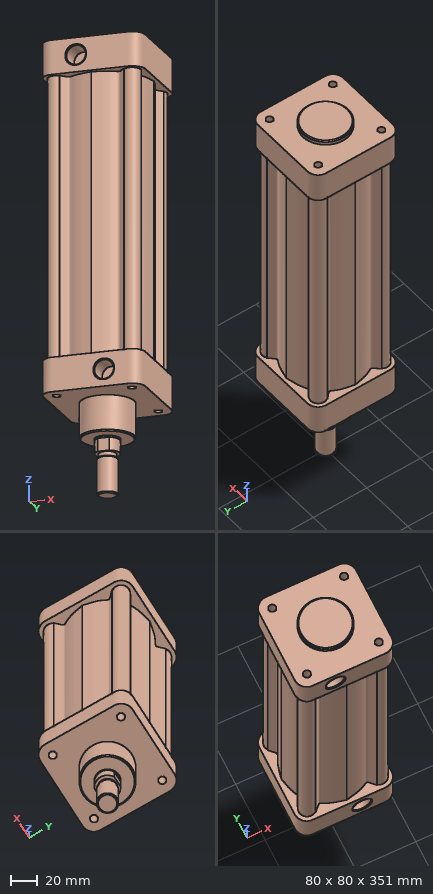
import cadquery as cq
import math

cap_height = 27.0
tube_length = 221.0
rear_boss_height = 4.0
front_boss_height = 28.0
rod_length = 44.0

cap_width = 80.0
cap_corner_radius = 10.0
boss_diameter = 42.0
boss_chamfer = 1.0
screw_spacing = 59.2
screw_hole_diameter = 6.0
screw_hole_depth = 15.0
port_diameter = 15.0
port_chamfer = 0.8
port_depth = 18.0
port_offset = 11.0

barrel_radius = 35.6
tube_width = 73.0
lobe_radius = (tube_width - screw_spacing) / 2
lobe_wall_half_width = 7.2
lobe_shoulder_offset = 1.0
lobe_fillet = 2.0

rod_diameter = 20.0
exposed_rod_length = 1.3
shank_diameter = 19.5
shank_length = 10.2
flat_width = 17.3
neck_diameter = 14.0
neck_length = 3.2
thread_diameter = 16.0
thread_chamfer = 1.0

tube_base = cap_height
rear_cap_base = tube_base + tube_length
rear_cap_top = rear_cap_base + cap_height


def make_cap(base, boss_base, boss_height, outer_face, port_x):
    """Rounded square cap with a boss, four screw holes and one port in its -Y side.

    outer_face is "<Z" or ">Z", the end of the cap that carries the boss.
    """
    cap = (
        cq.Workplane("XY", origin=(0, 0, base))
        .rect(cap_width, cap_width)
        .extrude(cap_height)
        .edges("|Z")
        .fillet(cap_corner_radius)
    )
    boss = (
        cq.Workplane("XY", origin=(0, 0, boss_base))
        .circle(boss_diameter / 2)
        .extrude(boss_height)
        .faces(outer_face)
        .chamfer(boss_chamfer)
    )
    inward = 1 if outer_face == "<Z" else -1
    outer_z = base if outer_face == "<Z" else base + cap_height
    screw_holes = (
        cq.Workplane("XY", origin=(0, 0, outer_z))
        .rect(screw_spacing, screw_spacing, forConstruction=True)
        .vertices()
        .circle(screw_hole_diameter / 2)
        .extrude(inward * screw_hole_depth)
    )
    return cap.union(boss).cut(screw_holes).cut(make_port(port_x, base + cap_height / 2))


def make_port(x, z):
    """Cutter for a blind round port with a chamfered mouth, entering from the -Y side."""
    mouth_radius = port_diameter / 2 + port_chamfer
    profile = [
        (0, 0),
        (mouth_radius, 0),
        (port_diameter / 2, port_chamfer),
        (port_diameter / 2, port_depth),
        (0, port_depth),
    ]
    port = cq.Workplane("XY").polyline(profile).close().revolve(360, (0, 0), (0, 1))
    return port.translate((x, -cap_width / 2, z))


def make_tube():
    """Round barrel with a shallow ridge on each side and a round-ended lobe at each corner."""
    ridge_apex = tube_width / 2
    tangent_angle = math.acos(barrel_radius / ridge_apex)
    ridge_half_width = barrel_radius * math.sin(tangent_angle)
    ridge_foot = barrel_radius * math.cos(tangent_angle)
    screw_radius = screw_spacing / math.sqrt(2)
    shoulder = screw_radius + lobe_shoulder_offset
    lobe_neck = math.sqrt(lobe_radius**2 - lobe_shoulder_offset**2)

    tube = cq.Workplane("XY", origin=(0, 0, tube_base)).circle(barrel_radius).extrude(tube_length)
    for side in range(4):
        ridge = (
            cq.Workplane("XY", origin=(0, 0, tube_base))
            .lineTo(ridge_foot, -ridge_half_width)
            .lineTo(ridge_apex, 0)
            .lineTo(ridge_foot, ridge_half_width)
            .close()
            .extrude(tube_length)
            .rotate((0, 0, 0), (0, 0, 1), 90 * side)
        )
        tube = tube.union(ridge)
    for corner in range(4):
        lobe = (
            cq.Workplane("XY", origin=(0, 0, tube_base))
            .moveTo(0, -lobe_wall_half_width)
            .lineTo(shoulder, -lobe_wall_half_width)
            .lineTo(shoulder, -lobe_neck)
            .threePointArc((screw_radius + lobe_radius, 0), (shoulder, lobe_neck))
            .lineTo(shoulder, lobe_wall_half_width)
            .lineTo(0, lobe_wall_half_width)
            .close()
            .extrude(tube_length)
            .rotate((0, 0, 0), (0, 0, 1), 45 + 90 * corner)
        )
        tube = tube.union(lobe)

    root_along = math.sqrt(barrel_radius**2 - lobe_wall_half_width**2)
    mid_z = tube_base + tube_length / 2
    for corner in range(4):
        turn = math.radians(45 + 90 * corner)
        for side in (-lobe_wall_half_width, lobe_wall_half_width):
            root_x = root_along * math.cos(turn) - side * math.sin(turn)
            root_y = root_along * math.sin(turn) + side * math.cos(turn)
            tube = tube.edges(cq.NearestToPointSelector((root_x, root_y, mid_z))).fillet(lobe_fillet)
    return tube


def cylinder_down(top, diameter, length):
    """Cylinder on the Z axis that hangs down from height top."""
    return cq.Workplane("XY", origin=(0, 0, top)).circle(diameter / 2).extrude(-length)


def make_rod():
    """Rod end below the front boss: plain rod, flatted shank, neck, then the thread blank."""
    rod_top = -front_boss_height
    shank_top = rod_top - exposed_rod_length
    shank_bottom = shank_top - shank_length
    thread_top = shank_bottom - neck_length
    thread_length = thread_top - (rod_top - rod_length)

    rod = cylinder_down(rod_top, rod_diameter, exposed_rod_length)
    flats = (
        cq.Workplane("XY", origin=(0, 0, shank_bottom))
        .rect(shank_diameter, flat_width)
        .extrude(shank_length)
    )
    shank = cylinder_down(shank_top, shank_diameter, shank_length).intersect(flats)
    neck = cylinder_down(shank_bottom, neck_diameter, neck_length)
    thread = cylinder_down(thread_top, thread_diameter, thread_length)
    thread = thread.faces("<Z or >Z").chamfer(thread_chamfer)
    return rod.union(shank).union(neck).union(thread)


front_cap = make_cap(0, -front_boss_height, front_boss_height, "<Z", port_offset)
rear_cap = make_cap(rear_cap_base, rear_cap_top, rear_boss_height, ">Z", -port_offset)
tube = make_tube()
rod = make_rod()

result = cq.Compound.makeCompound([front_cap.val(), tube.val(), rear_cap.val(), rod.val()])